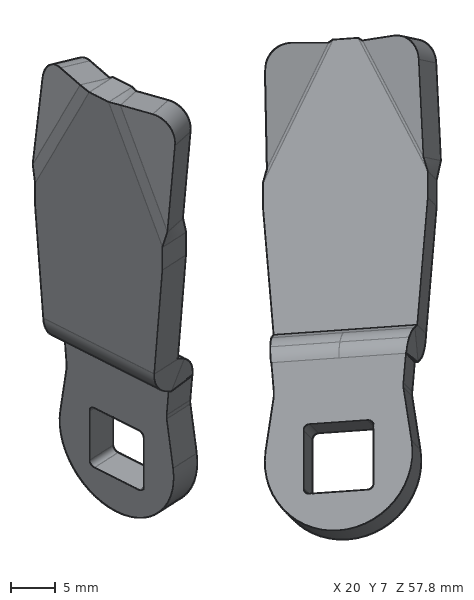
import cadquery as cq
import math

thickness = 4.0
depth = 7.0
height = 57.75
lower_front = depth - thickness

end_radius = 8.5
end_flank_angle = math.radians(8.6)
neck_half = 7.45
neck_bottom = 16.0
neck_top = 16.5
lower_top_half = 7.75
hole_side = 8.0
hole_corner_radius = 0.7

offset_angle = math.radians(60)
upper_bend_z = 23.95
upper_bend_half = 8.25
lower_bend_half = 8.1
bend_drop = (thickness - (thickness - lower_front) * math.cos(offset_angle)) / math.sin(offset_angle)
lower_bend_z = upper_bend_z - bend_drop

taper_z = 38.6
shoulder_half = 9.45
shoulder_z = 41.65
tip_half = 1.45
tip_z = 57.6

wing_angle = math.radians(17)
wing_bend_radius = 5.0
wing_half = 10.02
wing_top_half = 9.8
wing_corner_radius = 3.0


def mirrored_outline(right_side):
    """Closed XZ outline from the points of its right side, listed upward."""
    left_side = [(-x, z) for x, z in reversed(right_side)]
    return cq.Workplane("XZ").polyline(right_side + left_side).close()


def make_lower_plate():
    flank = (end_radius * math.cos(end_flank_angle), end_radius * (1 + math.sin(end_flank_angle)))
    outline = [
        flank,
        (neck_half, neck_bottom),
        (neck_half, neck_top),
        (lower_top_half, lower_bend_z),
    ]
    left_side = [(-x, z) for x, z in reversed(outline)]
    plate = (
        cq.Workplane("XZ", origin=(0, depth, 0))
        .polyline(outline + left_side)
        .threePointArc((0, 0), flank)
        .close()
        .extrude(thickness)
    )
    hole = (
        cq.Workplane("XZ", origin=(0, depth, end_radius))
        .rect(hole_side, hole_side)
        .extrude(thickness)
        .edges("|Y")
        .fillet(hole_corner_radius)
    )
    return plate.cut(hole)


def polar(center, radius, angle):
    """Point in the YZ plane, with the angle measured from +Y toward +Z."""
    return (center[0] + radius * math.cos(angle), center[1] + radius * math.sin(angle))


def make_upper_plate():
    """Upper plate with its bend and the sloping web, trimmed to the tapered outline."""
    bend_axis = (thickness, upper_bend_z)
    lower_axis = (lower_front, lower_bend_z)
    profile = (
        cq.Workplane("YZ")
        .moveTo(0, tip_z)
        .lineTo(0, upper_bend_z)
        .threePointArc(
            polar(bend_axis, thickness, math.pi + offset_angle / 2),
            polar(bend_axis, thickness, math.pi + offset_angle),
        )
        .lineTo(*lower_axis)
        .lineTo(*polar(lower_axis, thickness, offset_angle))
        .lineTo(*bend_axis)
        .lineTo(thickness, tip_z)
        .close()
        .extrude(wing_half, both=True)
    )
    outline = mirrored_outline([
        (lower_bend_half, lower_bend_z),
        (upper_bend_half, upper_bend_z),
        (shoulder_half, taper_z),
        (shoulder_half, shoulder_z),
        (tip_half, tip_z),
    ]).extrude(-depth)
    return profile.intersect(outline)


def make_lower_bend():
    """Sector about the inner corner, narrowing from the web to the lower plate."""
    axis = (lower_front, lower_bend_z)
    reach = thickness / math.cos(offset_angle / 2)
    web_y, web_z = polar(axis, reach, offset_angle)
    web_slope = (upper_bend_half - lower_bend_half) / bend_drop
    web_half = lower_bend_half + web_slope * (web_z - lower_bend_z)

    def end_triangle(side):
        return cq.Wire.makePolygon([
            cq.Vector(side * lower_bend_half, *axis),
            cq.Vector(side * web_half, web_y, web_z),
            cq.Vector(side * lower_top_half, lower_front + reach, lower_bend_z),
        ], close=True)

    wedge = cq.Solid.makeLoft([end_triangle(-1), end_triangle(1)], True)
    cylinder = cq.Workplane("YZ").center(*axis).circle(thickness).extrude(wing_half, both=True)
    return cylinder.intersect(cq.Workplane(wedge))


def make_wing():
    """Right wing and the bend that joins it to the upper plate."""
    fold_tilt = math.atan2(shoulder_half - tip_half, tip_z - shoulder_z)
    along = cq.Vector(-math.sin(fold_tilt), 0, math.cos(fold_tilt))
    outward = cq.Vector(math.cos(fold_tilt), 0, math.sin(fold_tilt))
    back = cq.Vector(0, 1, 0)
    wing_dir = outward * math.cos(wing_angle) + back * math.sin(wing_angle)
    wing_normal = outward * math.sin(wing_angle) - back * math.cos(wing_angle)

    axis_point = cq.Vector(shoulder_half, wing_bend_radius, shoulder_z)
    fold_end = axis_point + wing_normal * wing_bend_radius

    side_z = fold_end.z + (fold_end.x - wing_half) / math.tan(fold_tilt)
    top_x = fold_end.x - (height - fold_end.z) * math.tan(fold_tilt)

    def to_wing(x, z):
        """Wing-plane coordinates of the front-face point above (x, z)."""
        offset = cq.Vector(x - fold_end.x, 0, z - fold_end.z)
        return (offset.dot(outward) / math.cos(wing_angle), offset.dot(along))

    side_point = to_wing(wing_half, side_z)
    top_point = to_wing(top_x, height)
    corner = to_wing(wing_top_half, height)
    plane = cq.Plane(origin=fold_end, xDir=wing_dir, normal=wing_normal)
    wing = cq.Workplane(plane).polyline([side_point, corner, top_point]).close().extrude(-thickness)
    corner_edge = cq.selectors.NearestToPointSelector(
        plane.toWorldCoords((*corner, -thickness / 2)).toTuple()
    )
    wing = wing.edges(corner_edge).fillet(wing_corner_radius)

    plate_start = cq.Vector(shoulder_half, 0, shoulder_z)
    plate_end = cq.Vector(tip_half, 0, tip_z)
    wing_start = plane.toWorldCoords(side_point)
    wing_end = plane.toWorldCoords(top_point)
    plate_back = back * thickness
    wing_back = wing_normal * -thickness
    plate_edge = cq.Wire.makePolygon(
        [plate_start, plate_end, plate_end + plate_back, plate_start + plate_back], close=True
    )
    wing_edge = cq.Wire.makePolygon(
        [wing_start, wing_end, wing_end + wing_back, wing_start + wing_back], close=True
    )
    bend = cq.Solid.makeLoft([plate_edge, wing_edge], True)
    return wing.union(cq.Workplane(bend))


right_wing = make_wing()
left_wing = right_wing.mirror("YZ")
result = (
    make_upper_plate()
    .union(make_lower_bend())
    .union(make_lower_plate())
    .union(right_wing)
    .union(left_wing)
)